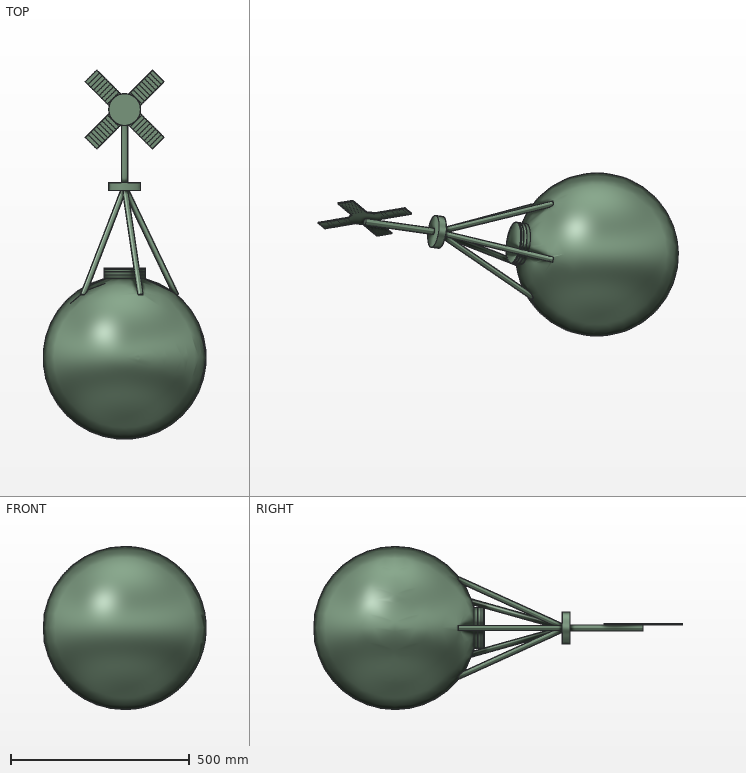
import cadquery as cq
import math

overall_length = 1032.19

sphere_radius = 228.16

neck_radius = 58.0
neck_top = 250.0
groove_width = 1.0
groove_depth = 0.4
cap_thickness = 3.0
ring_pitch = 9.3
groove_starts = (cap_thickness, ring_pitch, 2 * ring_pitch)

flange_radius = 45.0
flange_thickness = 22.0
flange_top = 489.0
flange_bottom = flange_top - flange_thickness

strut_count = 5
strut_radius = 7.5
strut_angle = 25.5
strut_offset = 4.5
strut_embed = flange_thickness / 2
strut_length = 335.0

mast_radius = 9.0

arm_count = 4
first_arm_angle = 45
arm_length = 133.0
arm_width = 46.0
rib_pitch = 22.0
rib_width = rib_pitch / 2
rib_height = 0.3
rib_count = math.floor(arm_length / rib_pitch)
plate_thickness = 2.7
rib_top = plate_thickness + rib_height
hub_radius = 44.5
hub_thickness = rib_top + rib_height
cross_half_span = (arm_length + arm_width / 2) * math.sin(math.radians(first_arm_angle))
hub_center = overall_length - sphere_radius - cross_half_span


def make_round_bar(radius, start, end):
    """Cylinder on the Y axis between two Y positions."""
    return cq.Workplane("XZ", origin=(0, start, 0)).circle(radius).extrude(start - end)


def make_neck():
    neck = make_round_bar(neck_radius, 0, neck_top)
    for depth in groove_starts:
        groove_top = neck_top - depth
        groove_bottom = groove_top - groove_width
        core = make_round_bar(neck_radius - groove_depth, groove_bottom, groove_top)
        neck = neck.cut(make_round_bar(neck_radius, groove_bottom, groove_top).cut(core))
    return neck


def make_strut(turn):
    """Sloping bar that starts inside the flange; turn is its angle about the Y axis from +X."""
    tilt = math.radians(strut_angle)
    outward = cq.Vector(math.cos(math.radians(turn)), 0, math.sin(math.radians(turn)))
    axis = outward * math.sin(tilt) - cq.Vector(0, math.cos(tilt), 0)
    flange_point = outward * strut_offset + cq.Vector(0, flange_bottom, 0)
    start = flange_point - axis * strut_embed
    return cq.Workplane(cq.Solid.makeCylinder(strut_radius, strut_length, start, axis))


def make_tank():
    """Sphere, neck, struts, flange and mast as one solid."""
    body = cq.Workplane("XY").sphere(sphere_radius)
    body = body.union(make_neck())
    for i in range(strut_count):
        body = body.union(make_strut(i * 360 / strut_count))
    body = body.union(make_round_bar(flange_radius, flange_bottom, flange_top))
    return body.union(make_round_bar(mast_radius, flange_top, hub_center))


def make_slab(length, thickness):
    """Slab of the arm's width, running from the origin along +X and standing on Z = 0."""
    return cq.Workplane("XY").box(length, arm_width, thickness, centered=(False, True, False))


def make_arm():
    arm = make_slab(arm_length, plate_thickness)
    for i in range(rib_count):
        rib_start = arm_length - rib_width - i * rib_pitch
        arm = arm.union(make_slab(rib_width, rib_top).translate((rib_start, 0, 0)))
    return arm


def make_panel_cross():
    cross = cq.Workplane("XY").circle(hub_radius).extrude(hub_thickness)
    arm = make_arm()
    for i in range(arm_count):
        angle = first_arm_angle + i * 360 / arm_count
        cross = cross.union(arm.rotate((0, 0, 0), (0, 0, 1), angle))
    return cross.translate((0, hub_center, mast_radius))


tank = make_tank()
panel_cross = make_panel_cross()
result = cq.Compound.makeCompound([tank.solids().val(), panel_cross.solids().val()])